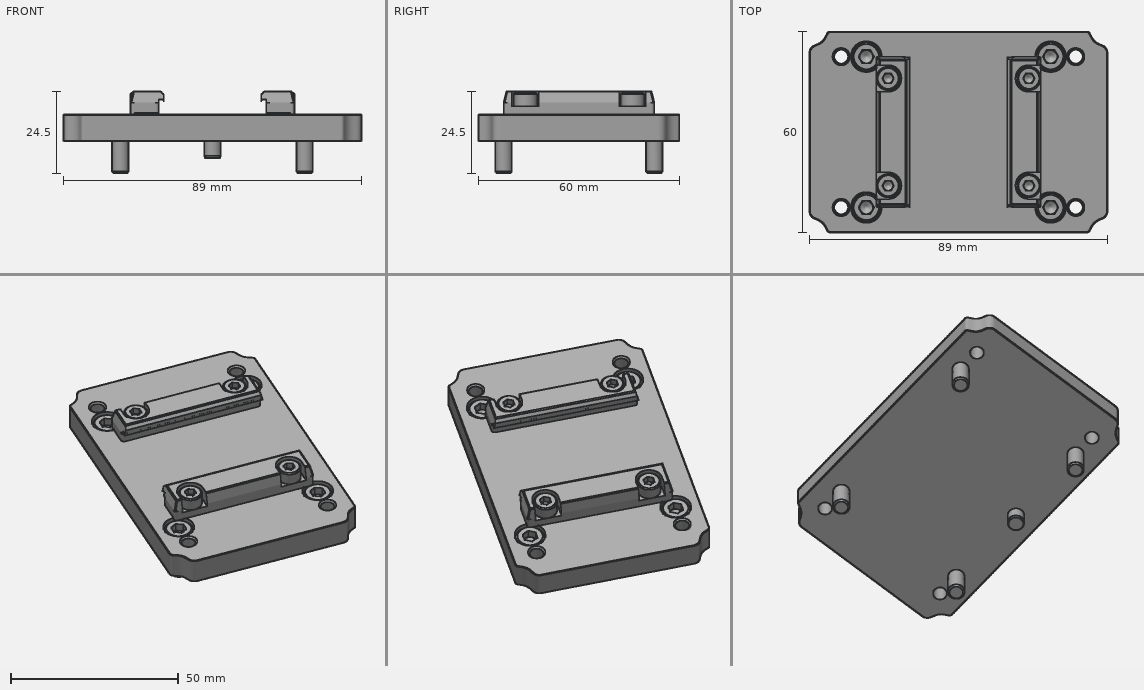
import cadquery as cq
import math

PLATE_LENGTH = 89.0
PLATE_WIDTH = 60.0
PLATE_THICKNESS = 8.0
EDGE_CHAMFER = 0.2

SCALLOP_SIDE_START = 4.8
SCALLOP_END_START = 5.6
SCALLOP_DEPTH_X = 4.0
SCALLOP_DEPTH_Y = 3.1
SCALLOP_SIDE_RADIUS = 2.4
SCALLOP_INNER_RADIUS = 4.5
SCALLOP_END_RADIUS = 1.0

PATTERN_Y = 22.5
TAPPED_X = 35.0
TAPPED_DIAMETER = 4.13
TAPPED_MOUTH_DIAMETER = 5.2
TAPPED_MOUTH_ANGLE = 90.0
PLATE_SCREW_X = 27.5

PLATE_BORE_DIAMETER = 9.2
PLATE_HEAD_DIAMETER = 8.5
PLATE_HEAD_HEIGHT = 5.0
PLATE_HEAD_RECESS = 0.5
PLATE_SHANK_DIAMETER = 5.0
PLATE_SHANK_LENGTH = 12.0
PLATE_HEX = 4.0
PLATE_HEAD_CHAMFER = 0.5
SHANK_CHAMFER = 0.5

PIN_DIAMETER = 5.0
PIN_PROJECTION = 5.0
PIN_CHAMFER_LENGTH = 0.7
PIN_CHAMFER_WIDTH = 0.3

JAW_LENGTH = 45.0
JAW_OUTER_X = -24.5
JAW_INNER_X = -16.0
JAW_NOSE_X = -14.5
JAW_TOP = 7.0
JAW_UNDERSIDE = 0.5
FOOT_WIDTH = 1.0
TAPER_START = 3.5
TAPER_ANGLE = 14.0
JAW_CORNER_RADIUS = 1.0
JAW_EDGE_CHAMFER = 0.3
NOSE_UNDERSIDE = 4.45
NOSE_TIP_BOTTOM = 4.0
NOSE_TIP_WIDTH = 0.4
NOSE_BEVEL = 1.1

JAW_SCREW_X = -21.0
JAW_SCREW_Y = 16.0
JAW_SEAT = 2.5
JAW_POCKET_WIDTH = 8.0
JAW_HEAD_DIAMETER = 7.0
JAW_HEAD_HEIGHT = 4.0
JAW_SHANK_DIAMETER = 4.0
JAW_SHANK_LENGTH = 10.0
JAW_HEX = 3.0
JAW_HEAD_CHAMFER = 0.4

HEX_SIDES = 6
SOCKET_DEPTH_RATIO = 0.5
SOCKET_CONE_ANGLE = 120.0


def four_corners(x, y):
    return [(sx * x, sy * y) for sx in (-1, 1) for sy in (-1, 1)]


def cylinder(diameter, bottom, top, x, y):
    return cq.Workplane("XY", origin=(x, y, bottom)).circle(diameter / 2).extrude(top - bottom)


def corner_scallop(sx, sy):
    """Cutter with an S-shaped edge that removes one plate corner."""
    corner_x = PLATE_LENGTH / 2
    corner_y = PLATE_WIDTH / 2
    points = [
        (corner_x, corner_y - SCALLOP_SIDE_START),
        (corner_x - SCALLOP_DEPTH_X, corner_y - SCALLOP_DEPTH_Y),
        (corner_x - SCALLOP_END_START, corner_y),
        (corner_x, corner_y),
    ]
    outline = [(sx * x, sy * y) for x, y in points]
    return cq.Workplane("XY").polyline(outline).close().extrude(-PLATE_THICKNESS)


def round_corner_edges(plate, x_inset, y_inset, radius):
    """Round the four vertical edges lying at the given insets from the plate corners."""
    x = PLATE_LENGTH / 2 - x_inset
    y = PLATE_WIDTH / 2 - y_inset
    for cx, cy in four_corners(x, y):
        edge = cq.selectors.NearestToPointSelector((cx, cy, -PLATE_THICKNESS / 2))
        plate = plate.edges("|Z").edges(edge).fillet(radius)
    return plate


def make_plate():
    plate = cq.Workplane("XY").rect(PLATE_LENGTH, PLATE_WIDTH).extrude(-PLATE_THICKNESS)
    for sx, sy in four_corners(1, 1):
        plate = plate.cut(corner_scallop(sx, sy))
    plate = round_corner_edges(plate, SCALLOP_DEPTH_X, SCALLOP_DEPTH_Y, SCALLOP_INNER_RADIUS)
    plate = round_corner_edges(plate, 0, SCALLOP_SIDE_START, SCALLOP_SIDE_RADIUS)
    plate = round_corner_edges(plate, SCALLOP_END_START, 0, SCALLOP_END_RADIUS)
    plate = plate.faces("<Z or >Z").chamfer(EDGE_CHAMFER)
    plate = (
        plate.faces(">Z").workplane(origin=(0, 0, 0))
        .pushPoints(four_corners(TAPPED_X, PATTERN_Y))
        .cskHole(TAPPED_DIAMETER, TAPPED_MOUTH_DIAMETER, TAPPED_MOUTH_ANGLE)
    )
    bore_depth = PLATE_HEAD_HEIGHT + PLATE_HEAD_RECESS
    for x, y in four_corners(PLATE_SCREW_X, PATTERN_Y):
        plate = plate.cut(cylinder(PLATE_BORE_DIAMETER, -bore_depth, 0, x, y))
    return plate


def make_screw(head_diameter, head_height, head_chamfer, shank_diameter, shank_length, hex_flats):
    """Socket head screw with the underside of its head at Z = 0."""
    head = cylinder(head_diameter, 0, head_height, 0, 0).faces(">Z").chamfer(head_chamfer)
    shank = cylinder(shank_diameter, -shank_length, 0, 0, 0).faces("<Z").chamfer(SHANK_CHAMFER)
    across_corners = hex_flats / math.cos(math.pi / HEX_SIDES)
    socket_bottom = head_height * (1 - SOCKET_DEPTH_RATIO)
    socket = (
        cq.Workplane("XY", origin=(0, 0, socket_bottom))
        .polygon(HEX_SIDES, across_corners).extrude(head_height - socket_bottom)
    )
    cone_radius = hex_flats / 2
    cone_depth = cone_radius / math.tan(math.radians(SOCKET_CONE_ANGLE / 2))
    cone = cq.Workplane(cq.Solid.makeCone(
        cone_radius, 0, cone_depth, cq.Vector(0, 0, socket_bottom), cq.Vector(0, 0, -1)))
    return head.union(shank).cut(socket).cut(cone)


def make_pin():
    bottom = -PLATE_THICKNESS - PIN_PROJECTION
    pin = cylinder(PIN_DIAMETER, bottom, -PLATE_THICKNESS / 2, 0, PATTERN_Y)
    return pin.faces("<Z").chamfer(PIN_CHAMFER_LENGTH, PIN_CHAMFER_WIDTH)


def extrude_along_jaw(profile):
    """Extrude an XZ profile over the full jaw length, centred on Y = 0."""
    return cq.Workplane("XZ").polyline(profile).close().extrude(JAW_LENGTH / 2, both=True)


def make_jaw():
    """Clamp jaw on the -X side, with its nose pointing to +X."""
    inset = (JAW_TOP - TAPER_START) * math.tan(math.radians(TAPER_ANGLE))
    body = extrude_along_jaw([
        (JAW_OUTER_X, 0),
        (JAW_OUTER_X + FOOT_WIDTH, 0),
        (JAW_OUTER_X + FOOT_WIDTH + JAW_UNDERSIDE, JAW_UNDERSIDE),
        (JAW_INNER_X, JAW_UNDERSIDE),
        (JAW_INNER_X, TAPER_START),
        (JAW_OUTER_X, TAPER_START),
    ]).edges("|Z").fillet(JAW_CORNER_RADIUS)

    top = extrude_along_jaw([
        (JAW_OUTER_X, TAPER_START),
        (JAW_INNER_X, TAPER_START),
        (JAW_INNER_X, NOSE_UNDERSIDE),
        (JAW_NOSE_X - NOSE_TIP_WIDTH, NOSE_UNDERSIDE),
        (JAW_NOSE_X, NOSE_TIP_BOTTOM),
        (JAW_NOSE_X, JAW_TOP - NOSE_BEVEL),
        (JAW_NOSE_X - NOSE_BEVEL, JAW_TOP),
        (JAW_OUTER_X + inset, JAW_TOP),
    ])
    half = JAW_LENGTH / 2
    end_taper = (
        cq.Workplane("YZ", origin=(JAW_OUTER_X, 0, 0))
        .polyline([(-half, TAPER_START), (half, TAPER_START),
                   (half - inset, JAW_TOP), (inset - half, JAW_TOP)])
        .close().extrude(JAW_NOSE_X - JAW_OUTER_X)
    )
    top = top.intersect(end_taper)
    outer_corners = cq.selectors.BoxSelector(
        (JAW_OUTER_X, -half, TAPER_START + inset), (JAW_OUTER_X + inset, half, JAW_TOP - inset))
    rim = top.faces(">Z").edges()
    top = rim.add(top.edges(outer_corners)).chamfer(JAW_EDGE_CHAMFER)
    jaw = body.union(top)

    pocket_height = JAW_TOP - JAW_SEAT
    for y in (-JAW_SCREW_Y, JAW_SCREW_Y):
        seat = cq.Workplane("XY", origin=(JAW_SCREW_X, y, JAW_SEAT))
        jaw = jaw.cut(seat.circle(JAW_POCKET_WIDTH / 2).extrude(pocket_height))
        opening = JAW_SCREW_X - JAW_OUTER_X
        jaw = jaw.cut(
            seat.center(-opening / 2, 0).rect(opening, JAW_POCKET_WIDTH).extrude(pocket_height))
    return jaw


def make_clamp():
    """Jaw together with its two screws."""
    clamp = make_jaw()
    screw = make_screw(JAW_HEAD_DIAMETER, JAW_HEAD_HEIGHT, JAW_HEAD_CHAMFER,
                       JAW_SHANK_DIAMETER, JAW_SHANK_LENGTH, JAW_HEX)
    for y in (-JAW_SCREW_Y, JAW_SCREW_Y):
        clamp = clamp.union(screw.translate((JAW_SCREW_X, y, JAW_SEAT)))
    return clamp


clamp = make_clamp()
assembly = make_plate().union(make_pin())
assembly = assembly.union(clamp).union(clamp.mirror("YZ"))

plate_screw = make_screw(PLATE_HEAD_DIAMETER, PLATE_HEAD_HEIGHT, PLATE_HEAD_CHAMFER,
                         PLATE_SHANK_DIAMETER, PLATE_SHANK_LENGTH, PLATE_HEX)
plate_seat = -PLATE_HEAD_RECESS - PLATE_HEAD_HEIGHT
for x, y in four_corners(PLATE_SCREW_X, PATTERN_Y):
    assembly = assembly.union(plate_screw.translate((x, y, plate_seat)))

result = assembly